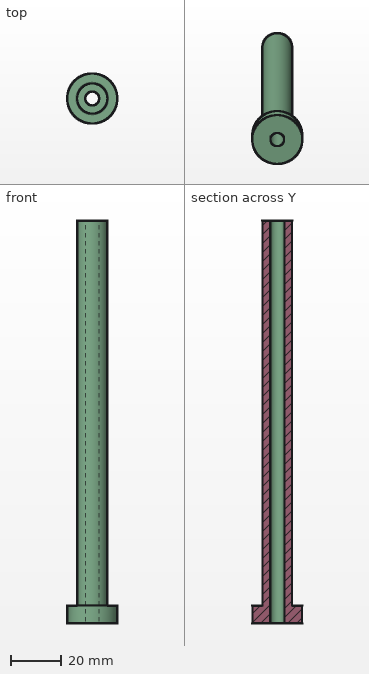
import cadquery as cq

total_length = 160.0
head_diameter = 20.0
head_height = 7.0
shank_diameter = 12.0
bore_diameter = 5.5
neck_fillet = 0.5

head_radius = head_diameter / 2
shank_radius = shank_diameter / 2
bore_radius = bore_diameter / 2

half_section = (
    cq.Workplane("XZ")
    .moveTo(bore_radius, 0)
    .lineTo(head_radius, 0)
    .lineTo(head_radius, head_height)
    .lineTo(shank_radius + neck_fillet, head_height)
    .radiusArc((shank_radius, head_height + neck_fillet), neck_fillet)
    .lineTo(shank_radius, total_length)
    .lineTo(bore_radius, total_length)
    .close()
)

result = half_section.revolve(360, (0, 0, 0), (0, 1, 0))